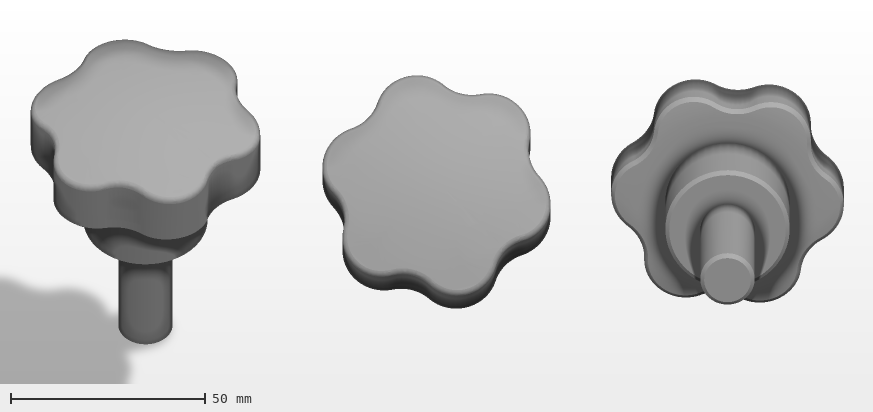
import cadquery as cq
import math

total_height = 81.0
hub_base = 39.0
head_base = 61.0

stud_diameter = 14.0
stud_chamfer = 1.0
hub_diameter = 32.0
hub_chamfer = 1.0

lobe_count = 6
grip_radius = 30.0
lobe_radius = 10.48
valley_radius = lobe_radius
dome_drop = 4.0
base_rise = 0.9
base_flat_radius = 22.0
base_bevel = 1.0
envelope_margin = 5.0
rim_fillet = 1.5

head_height = total_height - head_base


def polar_point(radius, angle):
    return (radius * math.cos(angle), radius * math.sin(angle))


def make_grip_prism():
    """Six convex lobes joined by tangent concave valleys, the first lobe centred on +Y."""
    half_pitch = math.pi / lobe_count
    lobe_centre = grip_radius - lobe_radius
    centre_gap = lobe_radius + valley_radius

    across = lobe_centre * math.sin(half_pitch)
    valley_centre = lobe_centre * math.cos(half_pitch) + math.sqrt(centre_gap**2 - across**2)
    valley_floor = valley_centre - valley_radius

    share = lobe_radius / centre_gap
    along = lobe_centre + share * (valley_centre * math.cos(half_pitch) - lobe_centre)
    aside = share * valley_centre * math.sin(half_pitch)
    touch_radius = math.hypot(along, aside)
    touch_angle = math.atan2(aside, along)

    outline = cq.Workplane("XY").workplane(offset=head_base)
    outline = outline.moveTo(*polar_point(touch_radius, math.pi / 2 - touch_angle))
    for index in range(lobe_count):
        axis = math.pi / 2 + 2 * half_pitch * index
        next_axis = axis + 2 * half_pitch
        outline = outline.threePointArc(
            polar_point(grip_radius, axis),
            polar_point(touch_radius, axis + touch_angle),
        )
        outline = outline.threePointArc(
            polar_point(valley_floor, axis + half_pitch),
            polar_point(touch_radius, next_axis - touch_angle),
        )
    return outline.close().extrude(head_height)


def make_head_envelope():
    """Turned body, wider than the grip, with a spherical dome and an underside curving up outward."""
    dome_radius = (grip_radius**2 + dome_drop**2) / (2 * dome_drop)
    dome_centre = total_height - dome_radius
    outer_radius = grip_radius + envelope_margin

    def dome_point(radius):
        return (radius, dome_centre + math.sqrt(dome_radius**2 - radius**2))

    base_radius = ((grip_radius - base_flat_radius) ** 2 + base_rise**2) / (2 * base_rise)

    def base_point(radius):
        run = radius - base_flat_radius
        return (radius, head_base + base_radius - math.sqrt(base_radius**2 - run**2))

    return (
        cq.Workplane("XZ")
        .moveTo(0, head_base)
        .lineTo(base_flat_radius, head_base)
        .threePointArc(base_point((base_flat_radius + outer_radius) / 2), base_point(outer_radius))
        .lineTo(*dome_point(outer_radius))
        .threePointArc(dome_point(outer_radius / 2), (0, total_height))
        .close()
        .revolve(360, (0, 0, 0), (0, 1, 0))
    )


def make_head():
    """Lobed grip with a rounded upper rim and a bevelled lower rim."""
    head = make_grip_prism().intersect(make_head_envelope())
    head = head.faces("%SPHERE").edges("%BSPLINE").fillet(rim_fillet)
    return head.faces("%REVOLUTION").edges("%BSPLINE").chamfer(base_bevel)


def make_hub():
    hub = cq.Workplane("XY").workplane(offset=hub_base).circle(hub_diameter / 2)
    return hub.extrude(head_base - hub_base).faces("<Z").chamfer(hub_chamfer)


def make_stud():
    stud = cq.Workplane("XY").circle(stud_diameter / 2).extrude(hub_base)
    return stud.faces("<Z").chamfer(stud_chamfer)


result = make_head().union(make_hub()).union(make_stud())